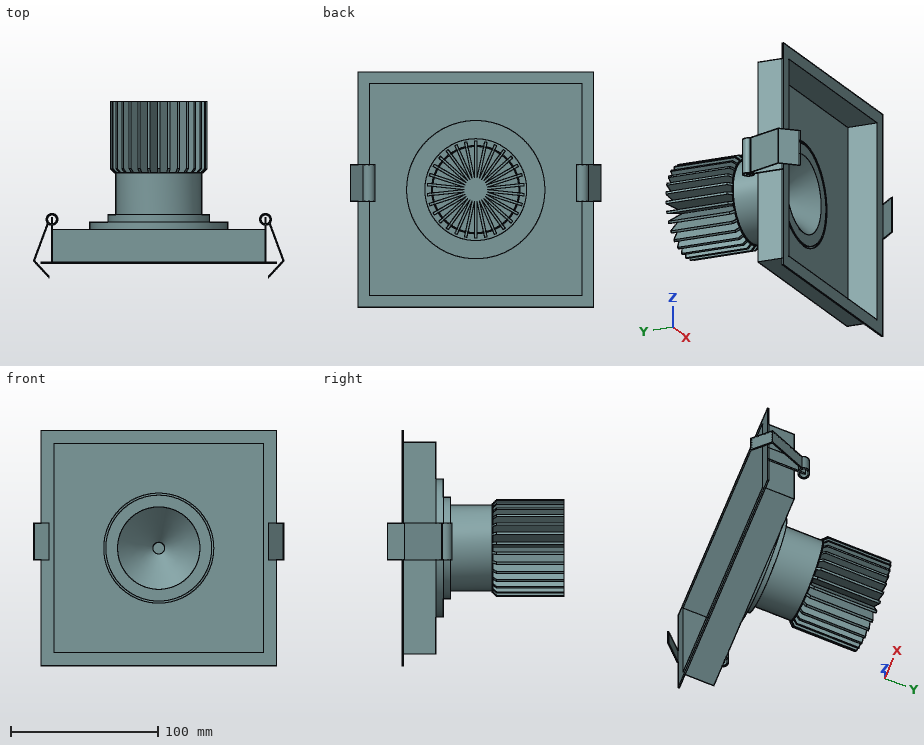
import cadquery as cq
import math

sheet = 1.0
frame_size = 160.0
tray_inner_size = 142.0
tray_outer_size = tray_inner_size + 2 * sheet
tray_floor_y = 22.0
tray_back_y = tray_floor_y + sheet
tray_hole_radius = 37.4

lamp_face_radius = 36.0
mount_radius = 47.0
mount_back_y = 28.0
collar_radius = 34.6
collar_back_y = 33.0
neck_radius = 29.3
neck_back_y = 61.2

reflector_mouth_radius = 28.0
reflector_lip = 0.8
reflector_rim_radius = reflector_mouth_radius - reflector_lip
reflector_end_radius = 4.0
reflector_depth = 25.0

fin_count = 30
fin_thickness = 1.7
fin_radius = 33.0
fin_back_y = 110.0
fin_chamfer_radial = 3.0
fin_chamfer_axial = 3.0
fin_base_radius = fin_radius - fin_chamfer_radial
fin_base_thickness = 0.6

clip_width = 25.0
clip_center_z = 4.5
clip_plate_back_y = 31.0
coil_outer_radius = 4.0
coil_inner_radius = 3.0
coil_center_y = 29.8
arm_thickness = 0.7
arm_start_angle = math.radians(-34.0)
elbow_x = 85.14
elbow_y = 1.6
arm_tip_x = 74.4
arm_tip_y = -9.99


def square_block(size, front_y, back_y):
    """A square block centred on the Y axis between two Y planes."""
    center_y = (front_y + back_y) / 2
    return cq.Workplane("XY").box(size, back_y - front_y, size).translate((0, center_y, 0))


def disc(radius, front_y, back_y):
    """A cylinder along the Y axis between two Y planes."""
    return cq.Workplane("XZ", origin=(0, front_y, 0)).circle(radius).extrude(front_y - back_y)


def make_frame():
    """The square flange and the open tray behind it, with the lamp hole."""
    flange = square_block(frame_size, 0, sheet)
    tray = square_block(tray_outer_size, 0, tray_back_y)
    recess = square_block(tray_inner_size, 0, tray_floor_y)
    hole = disc(tray_hole_radius, tray_floor_y, tray_back_y)
    return flange.union(tray).cut(recess).cut(hole)


def make_lamp_body():
    """The stepped body with the reflector, turned around the Y axis, up to the fins."""
    reflector_end_y = tray_floor_y + reflector_depth
    lip_y = tray_floor_y + reflector_lip
    profile = [
        (reflector_end_y, 0),
        (reflector_end_y, reflector_end_radius),
        (lip_y, reflector_rim_radius),
        (tray_floor_y, reflector_mouth_radius),
        (tray_floor_y, lamp_face_radius),
        (tray_back_y, lamp_face_radius),
        (tray_back_y, mount_radius),
        (mount_back_y, mount_radius),
        (mount_back_y, collar_radius),
        (collar_back_y, collar_radius),
        (collar_back_y, neck_radius),
        (neck_back_y, neck_radius),
        (neck_back_y, 0),
    ]
    return cq.Workplane("YZ").polyline(profile).close().revolve(360, (0, 0, 0), (1, 0, 0))


def make_fins():
    """Radial fins crossing on the Y axis, turned to a round outside with a chamfered front edge."""
    envelope_outline = [
        (neck_back_y, 0),
        (neck_back_y, fin_base_radius),
        (neck_back_y + fin_chamfer_axial, fin_radius),
        (fin_back_y, fin_radius),
        (fin_back_y, 0),
    ]
    envelope = cq.Workplane("YZ").polyline(envelope_outline).close().revolve(360, (0, 0, 0), (1, 0, 0))

    blade_span = 2 * fin_radius + fin_thickness
    fin_length = fin_back_y - neck_back_y
    blade_center_y = (neck_back_y + fin_back_y) / 2
    blade = cq.Workplane("XY").box(fin_thickness, fin_length, blade_span).translate((0, blade_center_y, 0))
    blades = blade
    for index in range(1, fin_count // 2):
        blades = blades.union(blade.rotate((0, 0, 0), (0, 1, 0), index * 360 / fin_count))
    return blades.intersect(envelope)


def make_lamp():
    """The turned body with the heat sink, a thin base disc and the fins, behind it."""
    fin_base = disc(fin_base_radius, neck_back_y, neck_back_y + fin_base_thickness)
    return make_lamp_body().union(make_fins()).union(fin_base)


def make_arm_outline(arm_start):
    """Corners of the bent strip; the outer line runs from the coil over the elbow to the tip."""
    upper_angle = math.atan2(arm_start[1] - elbow_y, arm_start[0] - elbow_x)
    lower_angle = math.atan2(arm_tip_y - elbow_y, arm_tip_x - elbow_x) + 2 * math.pi
    bisector_angle = (upper_angle + lower_angle) / 2
    miter_length = arm_thickness / math.sin((lower_angle - upper_angle) / 2)
    inner_elbow = (
        elbow_x + miter_length * math.cos(bisector_angle),
        elbow_y + miter_length * math.sin(bisector_angle),
    )
    inner_start = (
        arm_start[0] - arm_thickness * math.sin(upper_angle),
        arm_start[1] + arm_thickness * math.cos(upper_angle),
    )
    inner_tip = (arm_tip_x, arm_tip_y + arm_thickness / abs(math.cos(lower_angle)))
    return [arm_start, (elbow_x, elbow_y), (arm_tip_x, arm_tip_y), inner_tip, inner_elbow, inner_start]


def make_clip():
    """The clip on the +X side: a plate on the tray wall, a coil and a bent arm."""
    plate_inner_x = tray_outer_size / 2
    coil_center_x = plate_inner_x + sheet / 2
    plane = cq.Workplane("XY", origin=(0, 0, clip_center_z - clip_width / 2))

    plate_length = clip_plate_back_y - sheet
    plate = plane.center(plate_inner_x, sheet).rect(sheet, plate_length, centered=False).extrude(clip_width)

    coil_rings = plane.center(coil_center_x, coil_center_y).circle(coil_outer_radius).circle(coil_inner_radius)
    coil = coil_rings.extrude(clip_width)

    coil_middle_radius = (coil_outer_radius + coil_inner_radius) / 2
    arm_start = (
        coil_center_x + coil_middle_radius * math.cos(arm_start_angle),
        coil_center_y + coil_middle_radius * math.sin(arm_start_angle),
    )
    arm = plane.polyline(make_arm_outline(arm_start)).close().extrude(clip_width)
    return plate.union(coil).union(arm)


frame = make_frame()
lamp = make_lamp()
right_clip = make_clip()
left_clip = right_clip.mirror("YZ")

result = cq.Compound.makeCompound([frame.val(), lamp.val(), right_clip.val(), left_clip.val()])